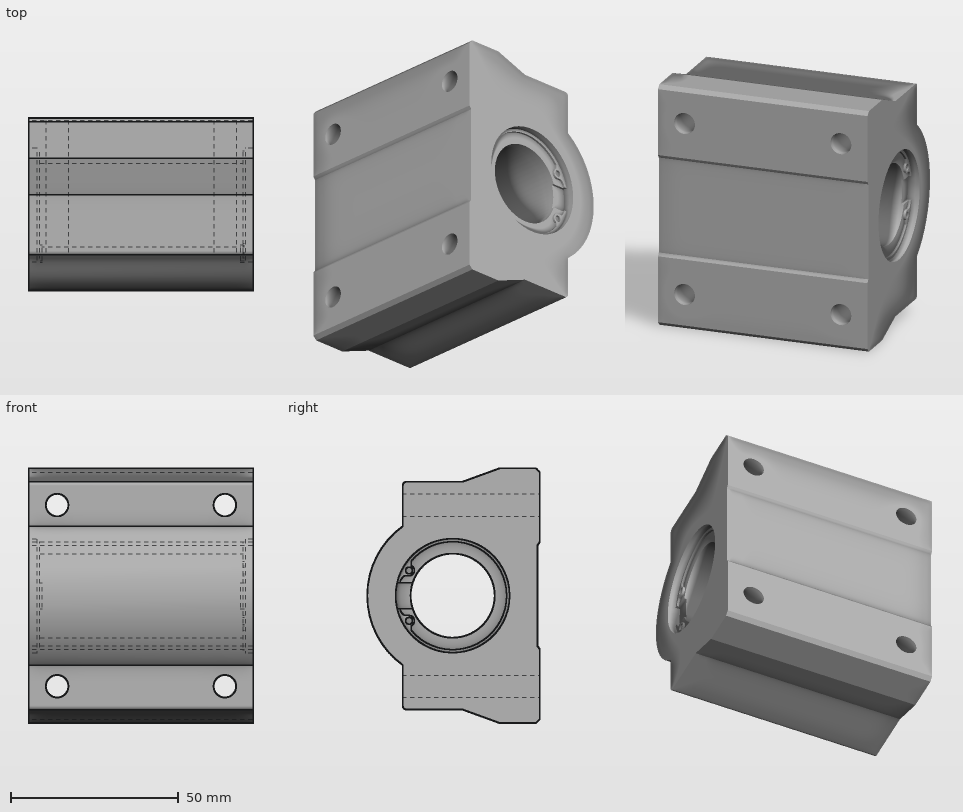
import cadquery as cq
import math


block_length = 67.0
base_y = 26.0
base_half_height = 38.0
base_flange_depth = 12.0
taper_end_depth = 23.0
shoulder_half_height = 34.0
shoulder_depth = 40.9
barrel_radius = 25.5
base_corner_chamfer = 1.2
shoulder_corner_radius = 1.2

relief_half_height = 15.0
relief_depth = 0.7
relief_lip_width = 1.0

mount_hole_diameter = 6.65
mount_hole_pitch_x = 50.0
mount_hole_pitch_z = 54.0

shaft_diameter = 25.0
recess_diameter = 34.0
ring_offset = 2.4
ring_thickness = 0.7
recess_depth = ring_offset + ring_thickness

notch_width = 7.7
notch_depth = 0.8

ring_inner_radius = 16.1
ring_overlap = 0.2
lug_y = -13.0
lug_z = 7.5
lug_radius = 1.6
lug_hole_diameter = 2.04
web_y = -12.35
web_outer_z = 10.3

foot_start_y = -14.4
foot_mid_y = -15.15
foot_mid_z = 5.2
foot_end_y = -15.7
foot_end_z = notch_width / 2

end_x = block_length / 2
recess_radius = recess_diameter / 2


def make_housing():
    """Extrude the symmetric outline along X, with the barrel bulging toward -Y."""
    flange_y = base_y - base_flange_depth
    taper_y = base_y - taper_end_depth
    shoulder_y = base_y - shoulder_depth
    barrel_z = math.sqrt(barrel_radius**2 - shoulder_y**2)
    relief_y = base_y - relief_depth
    relief_outer_z = relief_half_height + relief_lip_width
    profile = (
        cq.Workplane("YZ", origin=(-end_x, 0, 0))
        .moveTo(base_y, relief_outer_z)
        .lineTo(base_y, base_half_height)
        .lineTo(flange_y, base_half_height)
        .lineTo(taper_y, shoulder_half_height)
        .lineTo(shoulder_y, shoulder_half_height)
        .lineTo(shoulder_y, barrel_z)
        .threePointArc((-barrel_radius, 0), (shoulder_y, -barrel_z))
        .lineTo(shoulder_y, -shoulder_half_height)
        .lineTo(taper_y, -shoulder_half_height)
        .lineTo(flange_y, -base_half_height)
        .lineTo(base_y, -base_half_height)
        .lineTo(base_y, -relief_outer_z)
        .lineTo(relief_y, -relief_half_height)
        .lineTo(relief_y, relief_half_height)
        .close()
    )
    housing = profile.extrude(block_length)
    for side in (-1, 1):
        base_corner = (0, base_y, side * base_half_height)
        shoulder_corner = (0, shoulder_y, side * shoulder_half_height)
        housing = housing.edges(cq.NearestToPointSelector(base_corner)).chamfer(base_corner_chamfer)
        housing = housing.edges(cq.NearestToPointSelector(shoulder_corner)).fillet(shoulder_corner_radius)
    return housing


def make_mount_holes():
    """Four through holes parallel to Y."""
    return (
        cq.Workplane("XZ", origin=(0, base_y, 0))
        .rarray(mount_hole_pitch_x, mount_hole_pitch_z, 2, 2)
        .circle(mount_hole_diameter / 2)
        .extrude(2 * base_y)
    )


def make_end_recess():
    """Recess at the -X end, with the notch sunk into the bearing face at its bottom."""
    plane = cq.Workplane("YZ", origin=(-end_x, 0, 0))
    recess = plane.circle(recess_radius).extrude(recess_depth)
    notch_length = recess_depth + notch_depth
    notch = (
        plane.center(-recess_radius / 2, 0)
        .rect(recess_radius, notch_width)
        .extrude(notch_length)
    )
    envelope = plane.circle(recess_radius).extrude(notch_length)
    return recess.union(notch.intersect(envelope))


def make_retaining_ring():
    """Open ring near the -X end, seated in the recess wall, with a drilled lug at each end."""
    plane = cq.Workplane("YZ", origin=(-end_x + ring_offset, 0, 0))
    outer_radius = recess_radius + ring_overlap
    ring = plane.circle(outer_radius).circle(ring_inner_radius).extrude(ring_thickness)
    gap = (
        plane.center(-recess_radius, 0)
        .rect(recess_radius, 2 * lug_z)
        .extrude(ring_thickness)
    )
    ring = ring.cut(gap)
    disc = plane.circle(outer_radius).extrude(ring_thickness)
    for side in (-1, 1):
        lug = plane.center(lug_y, side * lug_z).circle(lug_radius).extrude(ring_thickness)
        web = (
            plane.moveTo(lug_y, side * (lug_z - lug_radius))
            .lineTo(foot_start_y, side * (lug_z - lug_radius))
            .threePointArc((foot_mid_y, side * foot_mid_z), (foot_end_y, side * foot_end_z))
            .lineTo(-outer_radius, side * foot_end_z)
            .lineTo(-outer_radius, side * web_outer_z)
            .lineTo(web_y, side * web_outer_z)
            .lineTo(web_y, side * lug_z)
            .close()
            .extrude(ring_thickness)
        )
        hole = plane.center(lug_y, side * lug_z).circle(lug_hole_diameter / 2).extrude(ring_thickness)
        ring = ring.union(lug.union(web).intersect(disc)).cut(hole)
    return ring


shaft_bore = cq.Workplane("YZ", origin=(-end_x, 0, 0)).circle(shaft_diameter / 2).extrude(block_length)
end_recess = make_end_recess()
retaining_ring = make_retaining_ring()

result = make_housing().cut(make_mount_holes()).cut(shaft_bore)
result = result.cut(end_recess).cut(end_recess.mirror("YZ"))
result = result.union(retaining_ring).union(retaining_ring.mirror("YZ"))